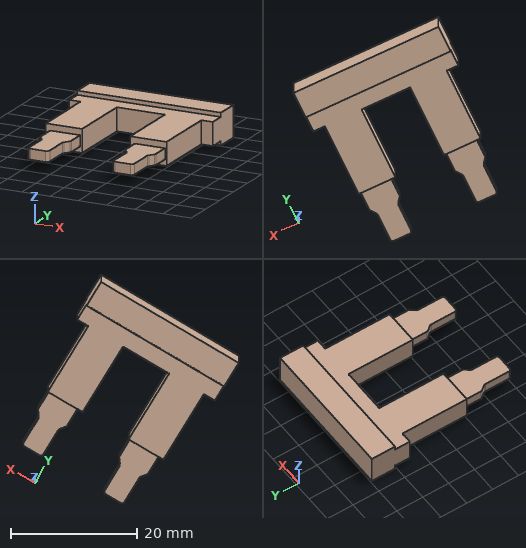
import cadquery as cq

total_length = 29.5
head_width = 25.5
head_thickness = 5.5
head_depth = 4.48

body_thickness = 4.05
crossbar_depth = 2.85
arm_width = 6.45
arm_pitch = 14.95

pin_length = 9.74
pin_thickness = 1.85
pin_width = 5.37
pin_pitch = 15.02
pin_offset = 0.27
tip_width = 3.7
tip_length = 5.2
taper_length = 1.1
shoulder_radius = 0.5
tip_radius = 0.5

head_front = total_length - head_depth
crossbar_front = head_front - crossbar_depth


def block(width, y_front, y_back, thickness, x_center=0):
    """Box centred on x_center and Z = 0, between two Y positions."""
    depth = y_back - y_front
    y_center = (y_front + y_back) / 2
    return cq.Workplane("XY").box(width, depth, thickness).translate((x_center, y_center, 0))


def contact_pin(x_center):
    """Stepped flat blade with softened shoulders and rounded tip corners."""
    shoulder_y = tip_length + taper_length
    half_tip = tip_width / 2
    half_pin = pin_width / 2
    right_side = [
        (half_tip, 0),
        (half_tip, tip_length),
        (half_pin, shoulder_y),
        (half_pin, pin_length),
    ]
    left_side = [(-x, y) for x, y in reversed(right_side)]
    blade = cq.Workplane("XY").polyline(right_side + left_side).close()
    blade = blade.extrude(pin_thickness / 2, both=True)
    shoulders = cq.selectors.BoxSelector(
        (-pin_width, tip_length / 2, -pin_thickness),
        (pin_width, (shoulder_y + pin_length) / 2, pin_thickness),
    )
    blade = blade.edges("|Z").edges(shoulders).fillet(shoulder_radius)
    blade = blade.faces("<Y").edges("|Z").fillet(tip_radius)
    return blade.translate((x_center, 0, 0))


head = block(head_width, head_front, total_length, head_thickness)
crossbar = block(head_width, crossbar_front, head_front, body_thickness)
result = head.union(crossbar)

for side in (-1, 1):
    arm_x = side * arm_pitch / 2
    pin_x = side * pin_pitch / 2 + pin_offset
    arm = block(arm_width, pin_length, crossbar_front, body_thickness, arm_x)
    result = result.union(arm).union(contact_pin(pin_x))